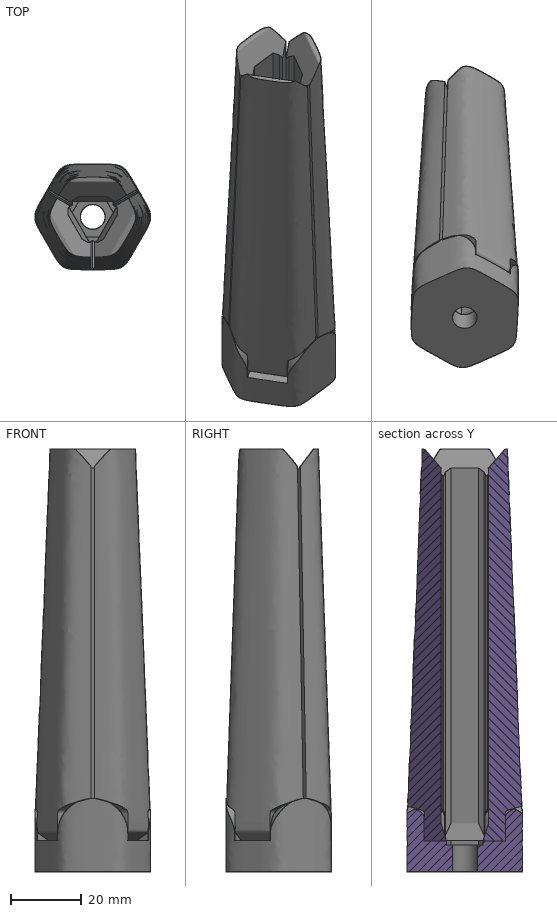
import cadquery as cq
import math

height = 120.0
base_apothem = 15.0
top_apothem = 11.3
taper_start = 13.9
corner_setback = 5.8
corner_fullness = 0.93

floor_thickness = 8.9
shaft_hole_diameter = 7.0
arch_radius = 10.0
arch_top = 20.9
hub_petal_apothem = 4.5
hub_slot_apothem = 5.6
hub_depth = 1.2

notch_half_width = 5.8
roof_top = 21.1
shoulder_height = 17.3
petal_shoulder_radius = 1.2
base_shoulder_radius = 3.0

slot_width = 1.0
bore_petal_apothem = 5.8
bore_petal_side = 7.9
bore_slot_apothem = 7.2
bore_slot_side = 2.9
lip_height = 4.8
funnel_rim = 9.8
funnel_angle = 53.0
funnel_rim_radius = 0.6
toe_depth = 3.8
toe_rise = 2.4
toe_radius = 1.2

petal_count = 3
sector_angle = 360 / petal_count
hexagon_sides = 6
hexagon_step = 360 / hexagon_sides
half_step = hexagon_step / 2
reach = 2 * base_apothem


def polar(radius, degrees):
    angle = math.radians(degrees)
    return cq.Vector(radius * math.cos(angle), radius * math.sin(angle), 0)


def rounded_hexagon(apothem, z):
    """Hexagon with flats facing +Y and -Y and smoothly blended corners."""
    vertex_radius = apothem / math.cos(math.radians(half_step))
    vertices = [polar(vertex_radius, hexagon_step * i) + cq.Vector(0, 0, z) for i in range(hexagon_sides)]
    edges = []
    for i, vertex in enumerate(vertices):
        following = vertices[(i + 1) % hexagon_sides]
        along_next = (following - vertex).normalized()
        along_previous = (vertices[i - 1] - vertex).normalized()
        start = vertex + along_previous * corner_setback
        end = vertex + along_next * corner_setback
        start_handle = start + (vertex - start) * corner_fullness
        end_handle = end + (vertex - end) * corner_fullness
        edges.append(cq.Edge.makeBezier([start, start_handle, end_handle, end]))
        edges.append(cq.Edge.makeLine(end, following - along_next * corner_setback))
    return cq.Wire.assembleEdges(edges)


def hexagonal_prism(bottom, top):
    outline = rounded_hexagon(base_apothem, bottom)
    return cq.Workplane(obj=cq.Solid.extrudeLinear(outline, [], cq.Vector(0, 0, top - bottom)))


def three_sided_outline(petal_apothem, petal_side, slot_apothem, slot_side):
    """Closed outline with straight sides facing the three petals and the three slots."""
    points = []
    for i in range(petal_count):
        petal_direction = 90 + sector_angle * i
        slot_direction = petal_direction + sector_angle / 2
        for apothem, side, direction in (
            (petal_apothem, petal_side, petal_direction),
            (slot_apothem, slot_side, slot_direction),
        ):
            for end in (-side / 2, side / 2):
                point = polar(apothem, direction) + polar(end, direction + 90)
                points.append((point.x, point.y))
    return points


def triangle_points(apothem):
    """Triangle with its sides facing the petals and its corners towards the slots."""
    corners = [polar(2 * apothem, half_step + sector_angle * i) for i in range(petal_count)]
    return [(corner.x, corner.y) for corner in corners]


def petal_space(shoulder_radius):
    """Room for the petal on the +Y side: a notch down to the floor below two sloping shoulders."""
    slot_offset = base_apothem * math.cos(math.radians(half_step))
    roof_slope = (roof_top - shoulder_height) / (slot_offset - notch_half_width)
    eaves = shoulder_height + roof_slope * (reach - notch_half_width)
    side = [
        (notch_half_width, floor_thickness),
        (notch_half_width, shoulder_height),
        (reach, eaves),
        (reach, height),
    ]
    mirrored = [(-x, z) for x, z in reversed(side)]
    space = cq.Workplane("XZ").polyline(side + mirrored).close().extrude(-reach)
    for x in (-notch_half_width, notch_half_width):
        shoulder = cq.selectors.NearestToPointSelector((x, reach / 2, shoulder_height))
        space = space.edges(shoulder).fillet(shoulder_radius)
    return space


def turned(shape, copy):
    """Third of a turn about the axis for each copy."""
    return shape.rotate((0, 0, 0), (0, 0, 1), sector_angle * copy)


def tongue_arch():
    """Arched slab from the axis out through the -Y side, standing on the bottom of the base."""
    arch_center = arch_top - arch_radius
    return (
        cq.Workplane("XZ")
        .moveTo(-arch_radius, 0)
        .lineTo(-arch_radius, arch_center)
        .threePointArc((0, arch_top), (arch_radius, arch_center))
        .lineTo(arch_radius, 0)
        .close()
        .extrude(reach)
    )


def make_base():
    envelope = cq.Workplane("XY").circle(reach).extrude(floor_thickness)
    for copy in range(petal_count):
        envelope = envelope.union(turned(tongue_arch(), copy))
    body = hexagonal_prism(0, arch_top).intersect(envelope)
    for copy in range(petal_count):
        body = body.cut(turned(petal_space(base_shoulder_radius), copy))
    hole = cq.Workplane("XY").circle(shaft_hole_diameter / 2).extrude(floor_thickness)
    hub_bottom = cq.Workplane("XY", origin=(0, 0, floor_thickness - hub_depth))
    petal_sides = hub_bottom.polyline(triangle_points(hub_petal_apothem)).close().extrude(hub_depth)
    slot_sides = hub_bottom.polyline(triangle_points(hub_slot_apothem)).close().extrude(hub_depth)
    hub_recess = petal_sides.intersect(slot_sides.rotate((0, 0, 0), (0, 0, 1), sector_angle / 2))
    return body.cut(hole).cut(hub_recess)


def outer_body():
    """Full outer shape of the three petals together."""
    skirt = hexagonal_prism(floor_thickness, taper_start)
    sections = [rounded_hexagon(base_apothem, taper_start), rounded_hexagon(top_apothem, height)]
    return skirt.union(cq.Workplane(obj=cq.Solid.makeLoft(sections, True)), clean=False)


def sector():
    """The third of the plan around +Y, less half a slot on each side."""
    tip = slot_width / 2 / math.cos(math.radians(half_step))
    side_y = tip + reach * math.tan(math.radians(half_step))
    return (
        cq.Workplane("XY")
        .polyline([(0, tip), (reach, side_y), (reach, reach), (-reach, reach), (-reach, side_y)])
        .close()
        .extrude(height)
    )


def bore():
    """Central bore, with a foot whose long sides lean in towards the floor."""
    floor = cq.Workplane("XY", origin=(0, 0, floor_thickness))
    outline = three_sided_outline(
        bore_petal_apothem, bore_petal_side, bore_slot_apothem, bore_slot_side
    )
    straight_bore = floor.polyline(outline).close().extrude(height)
    foot = (
        floor.polyline(triangle_points(hub_petal_apothem))
        .close()
        .workplane(offset=lip_height)
        .polyline(triangle_points(bore_petal_apothem))
        .close()
        .loft(ruled=True)
    )
    above_lip = floor.workplane(offset=lip_height).circle(reach).extrude(height)
    return straight_bore.intersect(foot.union(above_lip))


def radial_profile():
    """Side outline of a petal along its middle: a bevelled toe and a sloping funnel face."""
    funnel_depth = funnel_rim * math.tan(math.radians(funnel_angle))
    toe_top = floor_thickness + toe_rise
    profile = (
        cq.Workplane("YZ")
        .polyline(
            [
                (0, floor_thickness),
                (base_apothem - toe_depth, floor_thickness),
                (base_apothem, toe_top),
                (base_apothem, height),
                (funnel_rim, height),
                (0, height - funnel_depth),
            ]
        )
        .close()
        .extrude(reach, both=True)
    )
    rim = cq.selectors.NearestToPointSelector((0, funnel_rim, height))
    toe = cq.selectors.NearestToPointSelector((0, base_apothem, toe_top))
    return profile.edges(rim).fillet(funnel_rim_radius).edges(toe).fillet(toe_radius)


def make_petal():
    """Petal on the +Y side."""
    petal = outer_body().intersect(sector(), clean=False).cut(bore(), clean=False)
    petal = petal.intersect(petal_space(petal_shoulder_radius), clean=False)
    return petal.intersect(radial_profile(), clean=False)


base = make_base()
petal = make_petal()
petals = [turned(petal, copy) for copy in range(petal_count)]

result = cq.Compound.makeCompound([base.solids().val(), *[copy.solids().val() for copy in petals]])